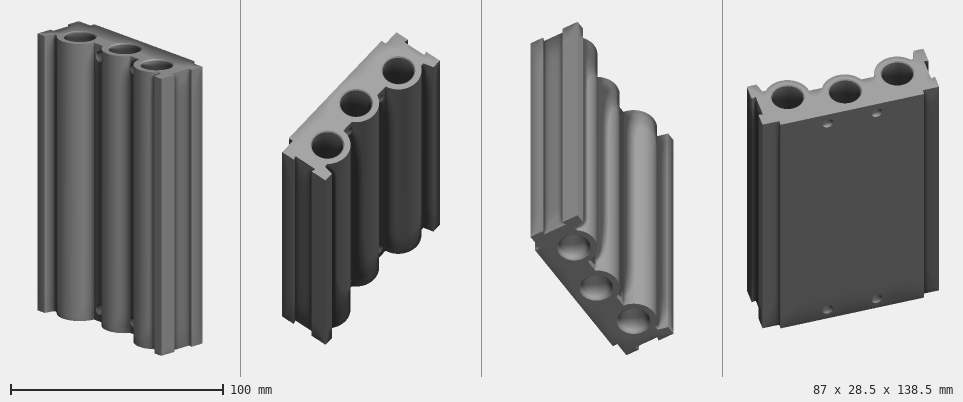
import cadquery as cq
import math

length = 138.5
width = 87.0
depth = 28.5
half_width = width / 2
back_y = depth / 2
foot_y = -depth / 2

pad_half_width = 35.3
pad_height = 2.5
shoulder_y = back_y - pad_height

groove_depth = 2.1
groove_back_mouth_y = back_y - 9.4
groove_front_mouth_y = back_y - 20.2
groove_undercut = 0.5
groove_floor_x = half_width - groove_depth

foot_tip_width = 4.8
foot_root_width = 6.1
foot_root_y = back_y - 23.4

bore_pitch = 27.0
bore_radius = 7.5
bore_chamfer = 0.5
rib_radius = 11.0
middle_bore_y = back_y - 12.5
side_bore_y = back_y - 16.6
bore_centers = [(-bore_pitch, side_bore_y), (0, middle_bore_y), (bore_pitch, side_bore_y)]
web_y = back_y - 17.6

mount_radius = 2.6
mount_x = 12.0
mount_end_distance = 6.0


def rib_half_chord(center_y, y):
    """Half the width of a rib where its circle crosses the given Y level."""
    return math.sqrt(rib_radius**2 - (center_y - y) ** 2)


def profile():
    """Closed cross-section, drawn clockwise from the left end of the back pad."""
    right_side = [
        (pad_half_width, back_y),
        (pad_half_width, shoulder_y),
        (half_width, shoulder_y),
        (half_width, groove_back_mouth_y),
        (groove_floor_x, groove_back_mouth_y + groove_undercut),
        (groove_floor_x, groove_front_mouth_y - groove_undercut),
        (half_width, groove_front_mouth_y),
        (half_width, foot_y),
        (half_width - foot_tip_width, foot_y),
        (half_width - foot_root_width, foot_root_y),
    ]
    left_side = [(-x, y) for x, y in reversed(right_side)]

    side_outer_x = bore_pitch + rib_half_chord(side_bore_y, foot_root_y)
    side_inner_x = bore_pitch - rib_half_chord(side_bore_y, web_y)
    middle_x = rib_half_chord(middle_bore_y, web_y)
    side_crest = (bore_pitch, side_bore_y - rib_radius)
    middle_crest = (0, middle_bore_y - rib_radius)

    return (
        cq.Workplane("XY")
        .polyline(left_side[-1:] + right_side)
        .lineTo(side_outer_x, foot_root_y)
        .threePointArc(side_crest, (side_inner_x, web_y))
        .lineTo(middle_x, web_y)
        .threePointArc(middle_crest, (-middle_x, web_y))
        .lineTo(-side_inner_x, web_y)
        .threePointArc((-side_crest[0], side_crest[1]), (-side_outer_x, foot_root_y))
        .polyline(left_side, includeCurrent=True)
        .close()
    )


def bore_cutter():
    """Through bore along Z, widened by a chamfer at both ends."""
    mouth_radius = bore_radius + bore_chamfer
    half_section = [
        (0, 0),
        (mouth_radius, 0),
        (bore_radius, bore_chamfer),
        (bore_radius, length - bore_chamfer),
        (mouth_radius, length),
        (0, length),
    ]
    return cq.Workplane("XZ").polyline(half_section).close().revolve(360, (0, 0), (0, 1))


def mounting_hole_cutters():
    """Four plain holes along Y, a pair near each end."""
    hole_levels = (mount_end_distance, length - mount_end_distance)
    centers = [(x, z) for x in (-mount_x, mount_x) for z in hole_levels]
    return (
        cq.Workplane("XZ")
        .pushPoints(centers)
        .circle(mount_radius)
        .extrude(depth, both=True)
    )


result = profile().extrude(length)
for center_x, center_y in bore_centers:
    result = result.cut(bore_cutter().translate((center_x, center_y, 0)))
result = result.cut(mounting_hole_cutters())